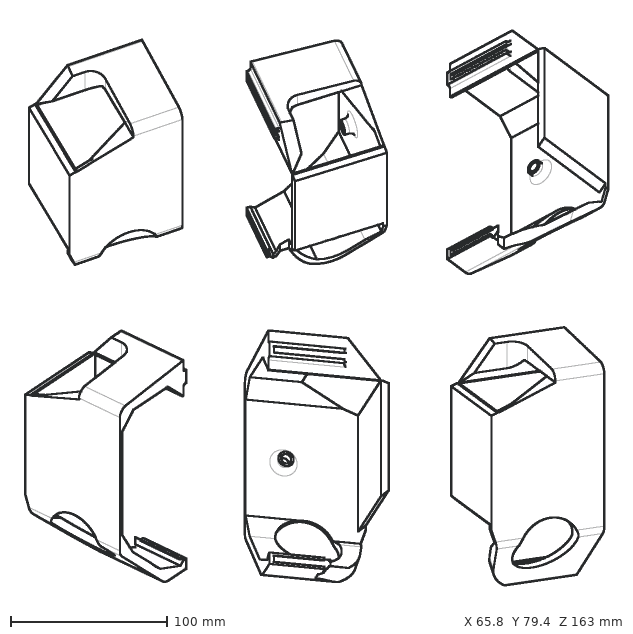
import cadquery as cq
import math

width = 65.8
depth = 79.4
height = 163.0

rail_height = 2.6
block_left = rail_height
wall = 2.6
wall_inside = width - wall
plate_thickness = 5.2

block_bottom = 135.7
ceiling = 150.4
roof_flat_end = 3.9
roof_low_x = 60.3
roof_low_z = 157.7
roof_round_x = 63.9
roof_round_z = 155.6
roof_round_end_z = 151.5
left_gusset_x = 18.0
right_gusset_x = 52.1
gusset_foot_z = ceiling - (wall_inside - right_gusset_x)
roof_front = 45.0
arm_left = 11.9
roof_corner_radius = 10.0
side_slope_y = 27.0

plate_top = 134.3
plate_bottom = 60.0
plate_bevel = 4.7
plate_lip = 4.2

arm_outer_offset = 21.0
arm_inner_offset = 12.4
arm_bend_radius = 8.1
arm_bend_z = 13.4
arm_tip_x = 5.9
arm_tip_z = 5.4
thickening_bottom = 40.4
thickening_top_front = 47.0
thickening_top_back = 59.0
front_slope_z = 56.7
front_slope = 0.34
arm_front_radius = 26.4
arm_front_x = 15.8
neck_x = 9.8
neck_y = 41.9

opening_diameter = 42.7
opening_y = 41.2
opening_z = 37.8

boss_y = 54.5
boss_z = 98.0
boss_diameter = 10.0
boss_hole_diameter = 6.5
boss_height = 7.0
boss_fillet = 4.0

upper_rail_z = 149.1
upper_rail_width = 10.1
upper_rail_end = 28.2
rail_fillet = 1.6
lower_rail_top = 8.0
slot_width = 4.4
slot_back = 76.5
slot_base_width = 6.2
slot_lip = 0.8
lower_rail_end = 43.2
lower_tab_end = 38.6


def box(x0, x1, y0, y1, z0, z1):
    """Box given by its limits on each axis."""
    return cq.Workplane("XY").box(x1 - x0, y1 - y0, z1 - z0, centered=False).translate((x0, y0, z0))


def along_y(sketch, y0, y1):
    """Extrude a closed XZ outline between two Y positions."""
    return sketch.extrude(-(y1 - y0)).translate((0, y0, 0))


def make_shell():
    """C-shaped wall: roof, right wall and sloping lower arm, in full depth."""
    outline = (
        cq.Workplane("XZ")
        .moveTo(block_left, block_bottom)
        .lineTo(block_left, height)
        .lineTo(roof_flat_end, height)
        .lineTo(roof_low_x, roof_low_z)
        .threePointArc((roof_round_x, roof_round_z), (width, roof_round_end_z))
        .lineTo(width, width - arm_outer_offset)
        .lineTo(arm_outer_offset, 0)
        .lineTo(block_left, 0)
        .lineTo(block_left, arm_tip_z)
        .lineTo(arm_tip_x, arm_tip_z)
        .lineTo(arm_bend_z + arm_inner_offset, arm_bend_z)
        .lineTo(thickening_bottom + arm_inner_offset, thickening_bottom)
        .lineTo(wall_inside, thickening_top_front)
        .lineTo(wall_inside, gusset_foot_z)
        .lineTo(right_gusset_x, ceiling)
        .lineTo(left_gusset_x, ceiling)
        .lineTo(roof_flat_end, ceiling - (left_gusset_x - roof_flat_end))
        .lineTo(roof_flat_end, block_bottom)
        .close()
    )
    shell = along_y(outline, 0, depth)
    for x, z in ((width, width - arm_outer_offset), (arm_outer_offset, 0)):
        bend = cq.selectors.NearestToPointSelector((x, depth / 2, z))
        shell = shell.edges("|Y").edges(bend).fillet(arm_bend_radius)
    thickening = (
        cq.Workplane("XZ")
        .moveTo(thickening_bottom + arm_inner_offset, thickening_bottom)
        .lineTo(wall_inside, thickening_top_front)
        .lineTo(wall_inside, thickening_top_back)
        .close()
    )
    return shell.union(along_y(thickening, opening_y, depth))


def make_side_outline():
    """Limits of the walls in the YZ plane, through the full width."""
    return (
        cq.Workplane("YZ")
        .moveTo(depth, 0)
        .lineTo(depth, height)
        .lineTo(side_slope_y, height)
        .lineTo(plate_thickness, block_bottom)
        .lineTo(plate_lip, block_bottom)
        .lineTo(0, plate_top)
        .lineTo(0, front_slope_z)
        .lineTo(front_slope * front_slope_z, 0)
        .close()
        .extrude(width)
    )


def make_roof_opening():
    """Space in front of the roof: upright on the left, with a sloping floor on the right."""
    slope = (
        cq.Workplane("YZ")
        .moveTo(roof_front, height)
        .lineTo(roof_front, ceiling)
        .lineTo(plate_thickness, block_bottom)
        .lineTo(0, block_bottom)
        .lineTo(0, height)
        .close()
        .extrude(width - left_gusset_x)
        .translate((left_gusset_x, 0, 0))
    )
    opening = box(arm_left, right_gusset_x, 0, roof_front, block_bottom, height).union(slope)
    corner = cq.selectors.NearestToPointSelector((arm_left, roof_front, (block_bottom + height) / 2))
    return opening.edges("|Z").edges(corner).fillet(roof_corner_radius)


def make_arm_front_trim():
    """Material removed around the large rounded front corner of the lower arm."""
    kept_arm = (
        cq.Workplane("YZ")
        .moveTo(depth, 0)
        .lineTo(depth, thickening_bottom)
        .lineTo(front_slope * (front_slope_z - thickening_bottom), thickening_bottom)
        .lineTo(front_slope * front_slope_z, 0)
        .close()
        .extrude(width - arm_front_x)
        .translate((arm_front_x, 0, 0))
    )
    corner = cq.selectors.NearestToPointSelector(
        (arm_front_x, front_slope * (front_slope_z - thickening_bottom / 2), thickening_bottom / 2)
    )
    kept_arm = kept_arm.edges(corner).fillet(arm_front_radius)
    kept_neck = (
        cq.Workplane("XY")
        .moveTo(block_left, roof_front)
        .lineTo(block_left, lower_tab_end)
        .lineTo(arm_tip_x, neck_y)
        .lineTo(neck_x, roof_front)
        .close()
        .extrude(thickening_bottom)
    )
    surround = box(block_left, width, 0, roof_front, 0, thickening_bottom)
    return surround.cut(kept_arm).cut(kept_neck)


def make_front_plate():
    """Front plate with a bevelled top and an undercut lower edge."""
    return (
        cq.Workplane("YZ")
        .moveTo(0, plate_bottom)
        .lineTo(0, plate_top)
        .lineTo(plate_lip, block_bottom)
        .lineTo(plate_thickness, block_bottom)
        .lineTo(plate_thickness, plate_bottom - plate_bevel)
        .close()
        .extrude(wall_inside - block_left)
        .translate((block_left, 0, 0))
    )


def make_slot(z, end):
    """Undercut slot along a rail, open at its front end and narrowest at the rail's face."""
    half = slot_width / 2
    half_base = slot_base_width / 2
    outline = (
        cq.Workplane("XZ")
        .moveTo(0, z - half)
        .lineTo(0, z + half)
        .lineTo(slot_lip, z + half)
        .lineTo(rail_height, z + half_base)
        .lineTo(rail_height, z - half_base)
        .lineTo(slot_lip, z - half)
        .close()
    )
    return along_y(outline, end, slot_back)


def make_upper_rail():
    """Rail on the left face of the block, flared into it by concave fillets."""
    half = upper_rail_width / 2
    neck = rail_height - rail_fillet
    bulge = rail_fillet * (1 - math.sqrt(0.5))
    outline = (
        cq.Workplane("XZ")
        .moveTo(0, upper_rail_z - half)
        .lineTo(0, upper_rail_z + half)
        .lineTo(neck, upper_rail_z + half)
        .threePointArc(
            (rail_height - bulge, upper_rail_z + half + bulge),
            (rail_height, upper_rail_z + half + rail_fillet),
        )
        .lineTo(rail_height, upper_rail_z - half - rail_fillet)
        .threePointArc(
            (rail_height - bulge, upper_rail_z - half - bulge),
            (neck, upper_rail_z - half),
        )
        .close()
    )
    rail = along_y(outline, upper_rail_end, depth)
    front = upper_rail_end + rail_fillet
    end_trim = (
        cq.Workplane("XY")
        .moveTo(0, upper_rail_end)
        .lineTo(0, front)
        .lineTo(neck, front)
        .threePointArc((rail_height - bulge, front - bulge), (rail_height, upper_rail_end))
        .close()
        .extrude(height)
    )
    rail = rail.cut(end_trim)
    return rail.cut(make_slot(upper_rail_z, upper_rail_end))


def make_lower_rail():
    """Rail at the tip of the arm, backed by a tab with a sloping end."""
    rail = box(0, rail_height, lower_rail_end, depth, 0, lower_rail_top)
    rail = rail.cut(make_slot(lower_rail_top / 2, lower_rail_end))
    backing = (
        cq.Workplane("XZ")
        .moveTo(rail_height, 0)
        .lineTo(rail_height, lower_rail_top)
        .lineTo(arm_tip_x, arm_tip_z)
        .lineTo(arm_tip_x, 0)
        .close()
    )
    return rail.union(along_y(backing, lower_tab_end, depth))


def make_tab_trim():
    """Wedge removed under the front end of the tab."""
    wedge_size = lower_rail_top / 2
    return (
        cq.Workplane("YZ")
        .moveTo(lower_tab_end, 0)
        .lineTo(lower_tab_end, wedge_size)
        .lineTo(lower_tab_end + wedge_size, 0)
        .close()
        .extrude(arm_tip_x)
    )


def add_boss(body):
    """Add the hollow boss with a flared foot to the right wall."""
    radius = boss_diameter / 2
    tip_x = wall_inside - boss_height
    bulge = boss_fillet * (1 - math.sqrt(0.5))
    boss = (
        cq.Workplane("XY")
        .moveTo(wall_inside, 0)
        .lineTo(tip_x, 0)
        .lineTo(tip_x, radius)
        .lineTo(wall_inside - boss_fillet, radius)
        .threePointArc((wall_inside - bulge, radius + bulge), (wall_inside, radius + boss_fillet))
        .close()
        .revolve(360, (0, 0, 0), (1, 0, 0))
        .translate((0, boss_y, boss_z))
    )
    hole = (
        cq.Workplane("YZ", origin=(tip_x, 0, 0))
        .center(boss_y, boss_z)
        .circle(boss_hole_diameter / 2)
        .extrude(boss_height)
    )
    return body.union(boss).cut(hole)


opening = cq.Workplane("YZ").center(opening_y, opening_z).circle(opening_diameter / 2).extrude(width)

body = make_shell().intersect(make_side_outline())
body = body.cut(make_roof_opening()).cut(opening)
body = body.union(make_front_plate())
body = body.union(make_upper_rail()).union(make_lower_rail())
body = body.cut(make_arm_front_trim()).cut(make_tab_trim())
result = add_boss(body)